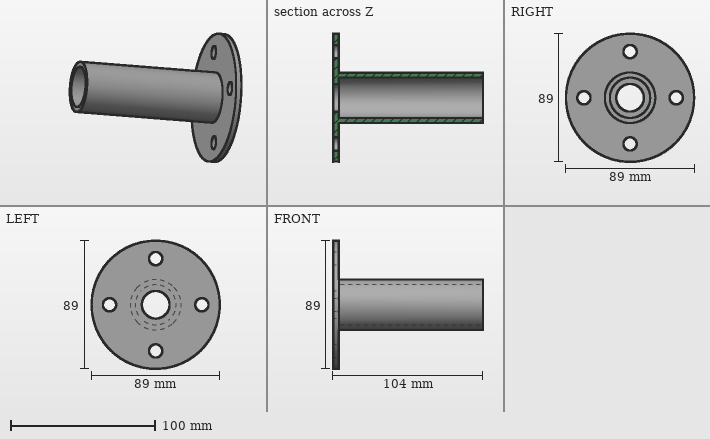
import cadquery as cq

total_length = 104.0
flange_diameter = 89.0
flange_thickness = 4.0
flange_bore_diameter = 19.0
tube_outer_diameter = 35.0
tube_inner_diameter = 28.0
bolt_hole_diameter = 9.0
bolt_circle_diameter = 64.0
bolt_hole_count = 4

tube_length = total_length - flange_thickness


def make_flange():
    """Round plate with a central bore and a ring of bolt holes."""
    return (
        cq.Workplane("YZ")
        .circle(flange_diameter / 2)
        .circle(flange_bore_diameter / 2)
        .extrude(flange_thickness)
        .faces(">X")
        .workplane()
        .polarArray(bolt_circle_diameter / 2, 0, 360, bolt_hole_count)
        .hole(bolt_hole_diameter)
    )


def make_tube():
    """Open tube standing on the flange's inner face, wider inside than the flange bore."""
    return (
        cq.Workplane("YZ", origin=(flange_thickness, 0, 0))
        .circle(tube_outer_diameter / 2)
        .circle(tube_inner_diameter / 2)
        .extrude(tube_length)
    )


result = make_flange().union(make_tube())